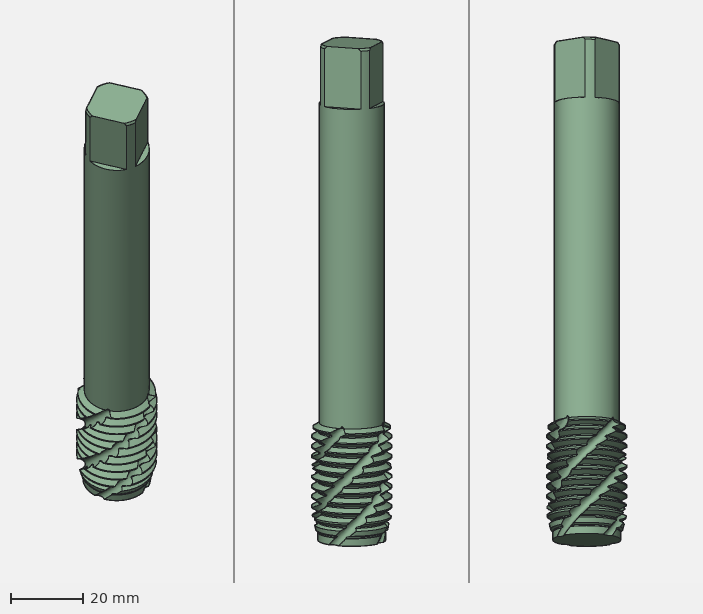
import cadquery as cq
import math

total_length = 140.0
shank_diameter = 18.0

square_width = 14.5
square_length = 17.0
square_chamfer_radial = 0.4
square_chamfer_axial = 0.7

thread_diameter = 22.225
pitch = 25.4 / 9
flank_angle = 30.0
crest_width = pitch / 8
root_width = pitch / 8
ridge_count = 11
thread_start = 2.4
pilot_diameter = 18.84
head_length = 33.0

lead_start_radius = 9.2
lead_length = 7.2
back_bevel_length = 1.0
back_crest_radius = 10.75

flute_count = 4
flute_lead = 60.0
flute_radius = 2.4
flute_start_angle = -102.0

shank_radius = shank_diameter / 2
thread_radius = thread_diameter / 2
pilot_radius = pilot_diameter / 2
flank_run = (pitch - crest_width - root_width) / 2
flank_slope = math.tan(math.radians(flank_angle))
root_radius = thread_radius - flank_run / flank_slope

pilot_length = thread_start - root_width / 2 - (pilot_radius - root_radius) * flank_slope
lead_slope = (thread_radius - lead_start_radius) / lead_length


def make_threaded_blank():
    """Revolve the pilot and the thread ridges into one solid of revolution."""
    outline = [
        (0, 0),
        (pilot_radius, 0),
        (pilot_radius, pilot_length),
        (root_radius, thread_start - root_width / 2),
    ]
    for ridge in range(ridge_count):
        flank_start = thread_start + ridge * pitch + root_width / 2
        crest_start = flank_start + flank_run
        crest_end = crest_start + crest_width
        outline.append((root_radius, flank_start))
        outline.append((thread_radius, crest_start))
        outline.append((thread_radius, crest_end))
        outline.append((root_radius, crest_end + flank_run))
    outline.append((0, outline[-1][1]))
    return cq.Workplane("XZ").polyline(outline).close().revolve(360, (0, 0), (0, 1))


def make_envelope():
    """Solid that trims the ridges to the tapered lead and the back bevel."""
    last_groove = thread_start + (ridge_count - 1) * pitch
    outline = [
        (0, 0),
        (pilot_radius, 0),
        (pilot_radius, pilot_length),
        (lead_start_radius + lead_slope * pilot_length, pilot_length),
        (thread_radius, lead_length),
        (thread_radius, last_groove),
        (back_crest_radius, last_groove),
        (back_crest_radius, head_length - back_bevel_length),
        (shank_radius, head_length),
        (0, head_length),
    ]
    return cq.Workplane("XZ").polyline(outline).close().revolve(360, (0, 0), (0, 1))


def make_flutes():
    """Round-bottomed helical cutters, each ending square to its helix at the back of the head."""
    sweep_length = head_length + 2 * flute_radius
    cutter = (
        cq.Workplane("XY")
        .moveTo(thread_radius, 0)
        .circle(flute_radius)
        .twistExtrude(sweep_length, 360 * sweep_length / flute_lead)
    )
    helix_rise = math.degrees(math.atan2(flute_lead, 2 * math.pi * thread_radius))
    end_block = (
        cq.Workplane("XY")
        .rect(4 * flute_radius, 4 * flute_radius)
        .extrude(4 * flute_radius)
        .rotate((0, 0, 0), (1, 0, 0), helix_rise - 90)
    )
    end_block = (
        end_block
        .translate((thread_radius, 0, head_length))
        .rotate((0, 0, 0), (0, 0, 1), 360 * head_length / flute_lead)
    )
    cutter = cutter.cut(end_block)
    return [
        cutter.rotate((0, 0, 0), (0, 0, 1), flute_start_angle + index * 360 / flute_count)
        for index in range(flute_count)
    ]


def make_shank():
    """Round shank with a square drive whose corners keep the shank's radius."""
    square_start = total_length - square_length
    body = (
        cq.Workplane("XY")
        .workplane(offset=head_length)
        .circle(shank_radius)
        .extrude(square_start - head_length)
    )
    corner_outline = [
        (0, square_start),
        (shank_radius, square_start),
        (shank_radius, total_length - square_chamfer_axial),
        (shank_radius - square_chamfer_radial, total_length),
        (0, total_length),
    ]
    drive = cq.Workplane("XZ").polyline(corner_outline).close().revolve(360, (0, 0), (0, 1))
    square = (
        cq.Workplane("XY")
        .workplane(offset=square_start)
        .rect(square_width, square_width)
        .extrude(square_length)
    )
    return body.union(drive.intersect(square))


head = make_threaded_blank().intersect(make_envelope())
shank = make_shank()
for flute in make_flutes():
    head = head.cut(flute)
    shank = shank.cut(flute)

result = cq.Compound.makeCompound([*head.vals(), *shank.vals()])